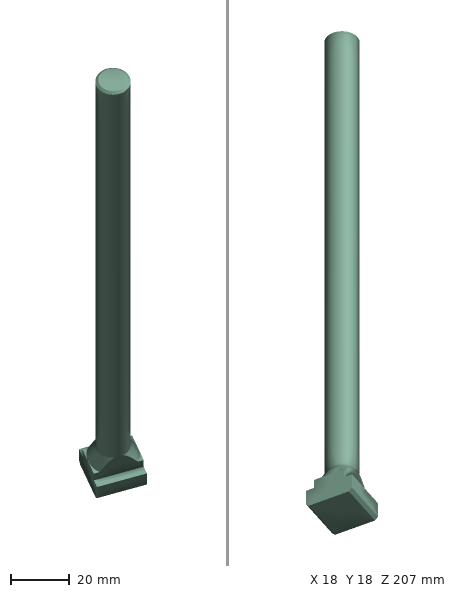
import cadquery as cq

total_length = 207.0
head_side = 18.0
head_height = 7.0
head_chamfer = 1.2
neck_width = 11.6
neck_top = 10.5
shoulder_top = 16.0
shank_diameter = 12.0
tip_chamfer_height = 0.75
tip_chamfer_depth = 1.0

shank_radius = shank_diameter / 2
shoulder_base_radius = head_side / 2


def make_head():
    """Square head with its two lower edges along Y chamfered."""
    block = cq.Workplane("XY").box(head_side, head_side, head_height, centered=(True, True, False))
    return block.faces("<Z").edges("|Y").chamfer(head_chamfer)


def make_neck():
    """Narrow block above the head, its long sides flush with the head's Y faces."""
    return (
        cq.Workplane("XY")
        .workplane(offset=head_height)
        .rect(neck_width, head_side)
        .extrude(neck_top - head_height)
    )


def make_shoulder():
    """Cone tapering from the neck up to the shank, cut flat to the neck width."""
    cone = (
        cq.Workplane("XZ")
        .moveTo(0, neck_top)
        .lineTo(shoulder_base_radius, neck_top)
        .lineTo(shank_radius, shoulder_top)
        .lineTo(0, shoulder_top)
        .close()
        .revolve(360, (0, 0, 0), (0, 1, 0))
    )
    between_flats = cq.Workplane("XY").box(neck_width, head_side, shoulder_top, centered=(True, True, False))
    return cone.intersect(between_flats)


def make_shank():
    """Round shank with a chamfered tip."""
    shank = (
        cq.Workplane("XY")
        .workplane(offset=shoulder_top)
        .circle(shank_radius)
        .extrude(total_length - shoulder_top)
    )
    return shank.faces(">Z").chamfer(tip_chamfer_height, tip_chamfer_depth)


result = make_head().union(make_neck()).union(make_shoulder()).union(make_shank())